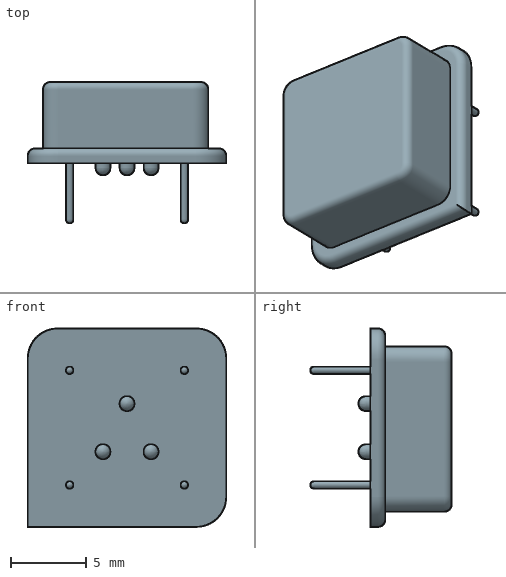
import cadquery as cq

flange_side = 13.2
flange_thickness = 1.0
flange_corner_radius = 2.0
flange_edge_radius = 0.5

can_side = 11.0
can_back = 5.41
can_shift = -0.09
can_corner_radius = 1.0
can_edge_radius = 0.5

pin_diameter = 0.5
pin_spacing = 7.62
pin_length = 3.99

standoff_diameter = 1.0
standoff_height = 0.79
standoff_offset = 1.6
standoff_places = [
    (0, standoff_offset),
    (-standoff_offset, -standoff_offset),
    (standoff_offset, -standoff_offset),
]

dome_flat_radius = 0.007


def square_plate(side, front, back):
    """Square block centred on the Y axis, from Y = front to Y = back."""
    depth = back - front
    return cq.Workplane("XY").box(side, depth, side).translate((0, (front + back) / 2, 0))


def domed_post(diameter, height, x, z):
    """Round post from Y = 0 toward -Y, ending in a nearly full dome."""
    radius = diameter / 2
    post = cq.Workplane("XZ").circle(radius).extrude(height)
    dome_radius = radius - dome_flat_radius
    return post.faces("<Y").edges().fillet(dome_radius).translate((x, 0, z))


def make_flange():
    """Plate with three round corners; the -X, -Z corner stays square to mark pin 1."""
    plate = square_plate(flange_side, 0, flange_thickness)
    plate = plate.edges("|Y and (>X or >Z)").fillet(flange_corner_radius)
    return plate.faces(">Y").edges().fillet(flange_edge_radius)


def make_can():
    can = square_plate(can_side, flange_thickness, can_back)
    can = can.edges("|Y").fillet(can_corner_radius)
    can = can.faces(">Y").edges().fillet(can_edge_radius)
    return can.translate((can_shift, 0, can_shift))


def make_housing():
    """Flange, can and lead pins as one solid."""
    housing = make_flange().union(make_can())
    half_spacing = pin_spacing / 2
    for x in (-half_spacing, half_spacing):
        for z in (-half_spacing, half_spacing):
            housing = housing.union(domed_post(pin_diameter, pin_length, x, z))
    return housing


def make_standoff(x, z):
    """Separate bead seated on the front face of the flange."""
    return domed_post(standoff_diameter, standoff_height, x, z)


housing = make_housing()
standoffs = [make_standoff(x, z) for x, z in standoff_places]

result = cq.Compound.makeCompound([housing.solids().val(), *[standoff.val() for standoff in standoffs]])